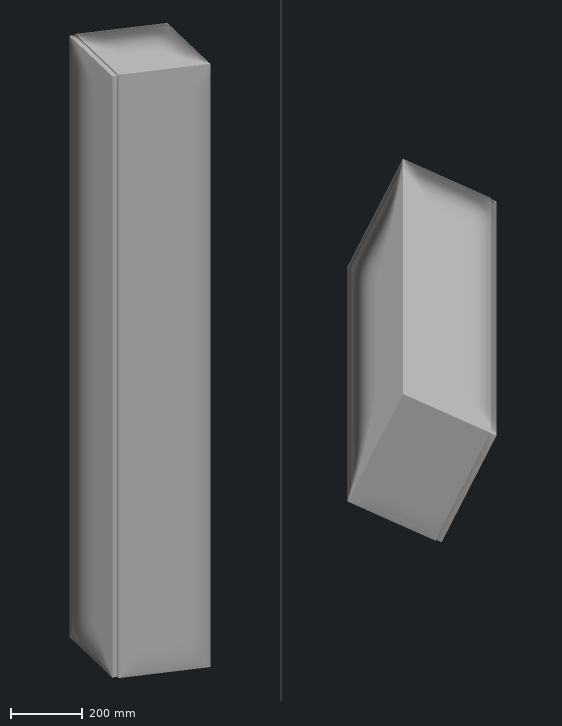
import cadquery as cq

WIDTH = 360.0
DEPTH = 292.0
HEIGHT = 1800.0

DOOR_THICKNESS = 16.0
DOOR_GAP = 2.0
DOOR_SIDE_MARGIN = 2.0
DOOR_BOTTOM_MARGIN = 4.0
DOOR_TOP_MARGIN = 2.7

SIDE_THICKNESS = 16.0
END_RECESS = 0.4

CARCASS_DEPTH = DEPTH - DOOR_THICKNESS - DOOR_GAP
INNER_WIDTH = WIDTH - 2 * SIDE_THICKNESS


def standing_box(width, depth, height):
    """Box centred in X, with its front face at Y = 0 and its base at Z = 0."""
    return cq.Workplane("XY").box(width, depth, height, centered=(True, False, False))


def make_carcass():
    """Cabinet block whose sides stand slightly proud of its top and bottom."""
    block = standing_box(WIDTH, CARCASS_DEPTH, HEIGHT)
    recess = standing_box(INNER_WIDTH, CARCASS_DEPTH, END_RECESS)
    top_recess = recess.translate((0, 0, HEIGHT - END_RECESS))
    return block.cut(recess).cut(top_recess).translate((0, DOOR_THICKNESS + DOOR_GAP, 0))


def make_door():
    """Flat front panel, set in slightly from the outline of the carcass."""
    width = WIDTH - 2 * DOOR_SIDE_MARGIN
    height = HEIGHT - DOOR_BOTTOM_MARGIN - DOOR_TOP_MARGIN
    return standing_box(width, DOOR_THICKNESS, height).translate((0, 0, DOOR_BOTTOM_MARGIN))


carcass = make_carcass()
door = make_door()

result = cq.Compound.makeCompound([carcass.val(), door.val()])